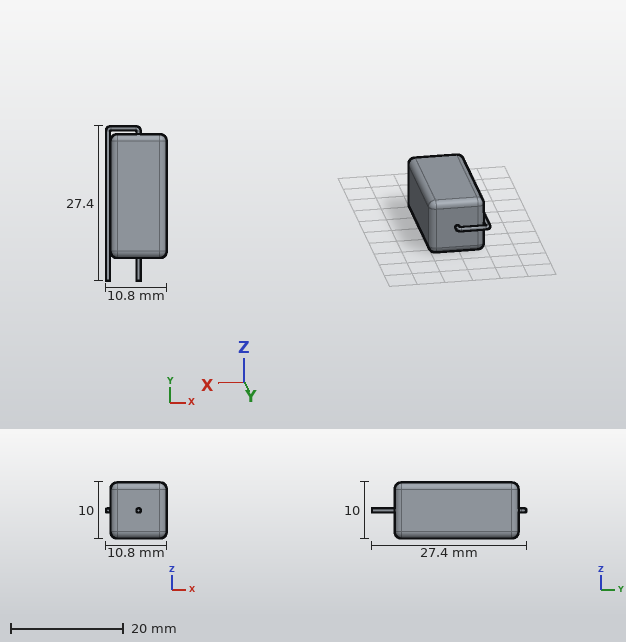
import cadquery as cq

overall_width = 10.82
overall_length = 27.4

body_side = 10.0
body_length = 22.0
edge_radius = 1.25

wire_diameter = 0.8
bend_radius = 0.5
lead_length = 4.0

wire_radius = wire_diameter / 2
tip_y = -body_length / 2 - lead_length
loop_y = tip_y + overall_length - wire_radius
return_x = body_side / 2 - overall_width + wire_radius


def make_body():
    """Square bar with every edge rounded."""
    return cq.Workplane("XY").box(body_side, body_length, body_side).edges().fillet(edge_radius)


def make_front_lead():
    """Straight lead on the body axis, rooted at the body centre."""
    return cq.Workplane("XZ").circle(wire_radius).extrude(-tip_y)


def make_return_lead():
    """Lead that leaves the far end face, turns sideways and runs back beside the body."""
    bend_start_y = loop_y - bend_radius
    path = (
        cq.Workplane("XY")
        .moveTo(return_x, tip_y)
        .lineTo(return_x, bend_start_y)
        .radiusArc((return_x + bend_radius, loop_y), bend_radius)
        .lineTo(-bend_radius, loop_y)
        .radiusArc((0, bend_start_y), bend_radius)
        .lineTo(0, 0)
    )
    section = cq.Workplane("XZ", origin=(return_x, tip_y, 0)).circle(wire_radius)
    return section.sweep(path)


result = make_body().union(make_front_lead()).union(make_return_lead())